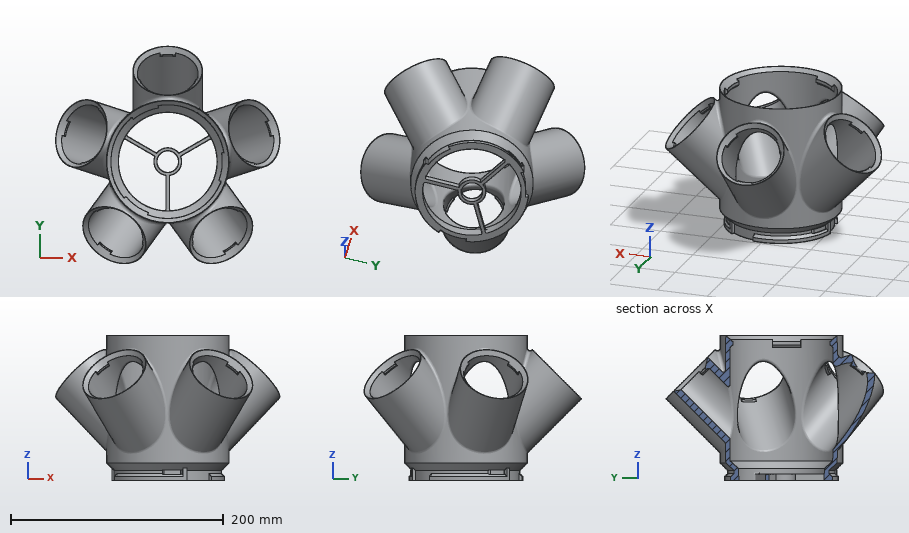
import cadquery as cq
import math

full_turn = 360.0

cone_angle = 45.0
total_height = 136.5
body_radius = 57.6
wall = 4.2
body_inner_radius = body_radius - wall
body_bottom = 16.5
collar_top = 9.5
collar_radius = body_radius - (body_bottom - collar_top)
collar_bore_radius = 46.3
bore_cone_bottom = collar_top + wall * math.tan(math.radians(cone_angle / 2))
bore_cone_top = bore_cone_bottom + body_inner_radius - collar_bore_radius
collar_core_radius = (collar_bore_radius + collar_radius) / 2

branch_count = 5
branch_tilt = 45.0
branch_radius = 32.7
branch_bore_radius = branch_radius - wall
branch_reach = 85.34
branch_end_height = 99.9
branch_length = branch_reach / math.sin(math.radians(branch_tilt))
branch_start = 25.0
branch_base_height = branch_end_height - branch_reach / math.tan(math.radians(branch_tilt))
branch_fillet = 2.5
bore_fillet = 2.5
first_branch_azimuth = 90.0

seam_tolerance = 0.1

rim_land = 0.4

bayonet_count = 3
body_lug_depth = 2.2
body_lug_tip_height = 3.2
branch_lug_depth = 1.5
branch_lug_tip_height = 1.9
lug_angle = 29.5
lug_embedment = wall / 4
body_lug_azimuth = 114.5
branch_lug_azimuth = 0.0

segment_radius = 53.4
segment_height = 6.5
segment_rim_height = segment_height - (segment_radius - collar_radius)
segment_start = 200.0
segment_angle = 90.0
stop_angle = 4.2
stop_height = 11.9
detent_centre = 274.75
detent_foot_angle = 21.0
detent_crest_angle = 17.3
detent_radius = 52.0
detent_bottom = 5.8
detent_top = 10.0

hub_outer_radius = 13.1
hub_inner_radius = 10.1
hub_height = 6.0
spoke_count = 3
spoke_width = 3.4
spoke_fillet = 1.5
first_spoke_azimuth = 30.0


def turned(profile, start, angle):
    """Revolve an (r, z) profile about Z through `angle` degrees from azimuth `start`."""
    solid = cq.Workplane("XZ").polyline(profile).close().revolve(angle, (0, 0, 0), (0, 1, 0))
    return solid.rotate((0, 0, 0), (0, 0, 1), start)


def around(solid, count):
    """Repeat a solid evenly about the Z axis."""
    group = solid
    for index in range(1, count):
        group = group.union(solid.rotate((0, 0, 0), (0, 0, 1), index * full_turn / count))
    return group


def ring_sector(inner, outer, bottom, top, start, angle):
    """A block of rectangular section between two radii, two heights and two azimuths."""
    return turned([(inner, bottom), (outer, bottom), (outer, top), (inner, top)], start, angle)


def lugs(bore_radius, tip_radius, tip_height, mouth_radius, end_height, azimuth):
    """Three lugs in a bore, up to its open end, with undersides that slope down to the wall."""
    root_radius = bore_radius + lug_embedment
    tip_bottom = end_height - (mouth_radius - tip_radius) - tip_height
    lug = turned(
        [
            (tip_radius, tip_bottom),
            (root_radius, tip_bottom - (root_radius - tip_radius)),
            (root_radius, end_height),
            (tip_radius, end_height),
        ],
        azimuth - lug_angle / 2,
        lug_angle,
    )
    return around(lug, bayonet_count)


def on_every_branch(solid):
    """Move a solid built along Z from the origin onto the branch axes."""
    tilted = solid.rotate((0, 0, 0), (0, 1, 0), branch_tilt).translate((0, 0, branch_base_height))
    return around(tilted.rotate((0, 0, 0), (0, 0, 1), first_branch_azimuth), branch_count)


def outer_form():
    """The solid body, collar and branches before they are hollowed."""
    form = turned(
        [
            (0, 0),
            (collar_radius, 0),
            (collar_radius, collar_top),
            (body_radius, body_bottom),
            (body_radius, total_height),
            (0, total_height),
        ],
        0,
        full_turn,
    )
    branch = cq.Workplane("XY").workplane(offset=branch_start)
    branch = branch.circle(branch_radius).extrude(branch_length - branch_start)
    return form.union(on_every_branch(branch))


def round_branch_joints(form, radius, fillet_radius):
    """Fillet the curved seams where the branches meet a body cylinder of the given radius."""

    def is_joint(edge):
        middle = edge.positionAt(0.5)
        on_cylinder = abs(math.hypot(middle.x, middle.y) - radius) < seam_tolerance
        return on_cylinder and edge.geomType() not in ("LINE", "CIRCLE")

    joints = [edge for edge in form.edges().vals() if is_joint(edge)]
    return form.newObject(joints).fillet(fillet_radius)


def mouth(tip_radius, mouth_radius, end_height):
    """The 45 degree cone that widens a bore at its open end and bevels the lugs in it."""
    cone_bottom = end_height - (mouth_radius - tip_radius)
    profile = [(0, cone_bottom), (tip_radius, cone_bottom), (mouth_radius, end_height), (0, end_height)]
    return turned(profile, 0, full_turn)


def inner_space():
    """The connected bores of the collar, body and branches."""
    space = turned(
        [
            (0, 0),
            (collar_bore_radius, 0),
            (collar_bore_radius, bore_cone_bottom),
            (body_inner_radius, bore_cone_top),
            (body_inner_radius, total_height),
            (0, total_height),
        ],
        0,
        full_turn,
    )
    bore = cq.Workplane("XY").workplane(offset=branch_start)
    bore = bore.circle(branch_bore_radius).extrude(branch_length - branch_start)
    return space.union(on_every_branch(bore))


def collar_bayonet():
    """Three bevelled segments on the collar, each with an end stop and a detent."""
    segment = turned(
        [
            (collar_core_radius, 0),
            (segment_radius, 0),
            (segment_radius, segment_rim_height),
            (collar_radius, segment_height),
            (collar_core_radius, segment_height),
        ],
        segment_start,
        segment_angle,
    )
    stop_start = segment_start + segment_angle - stop_angle
    stop = ring_sector(collar_core_radius, segment_radius, 0, stop_height, stop_start, stop_angle)
    return around(segment.union(stop).union(detent()), bayonet_count)


def detent():
    """A low block on the collar with a ramp at each end."""

    def point(radius, angle):
        azimuth = math.radians(detent_centre + angle)
        return (radius * math.cos(azimuth), radius * math.sin(azimuth))

    foot = detent_foot_angle / 2
    crest = detent_crest_angle / 2
    outline = cq.Workplane("XY").workplane(offset=detent_bottom)
    outline = outline.moveTo(*point(collar_core_radius, -foot)).lineTo(*point(collar_radius, -foot))
    outline = outline.lineTo(*point(detent_radius, -crest))
    outline = outline.threePointArc(point(detent_radius, 0), point(detent_radius, crest))
    outline = outline.lineTo(*point(collar_radius, foot)).lineTo(*point(collar_core_radius, foot))
    return outline.close().extrude(detent_top - detent_bottom)


def hub():
    """The hub ring and its spokes, filleted into a thin ring that lies inside the collar wall."""
    part = ring_sector(collar_bore_radius, collar_core_radius, 0, collar_top, 0, full_turn)
    spoke = cq.Workplane("XY").box(collar_core_radius, spoke_width, hub_height, centered=(False, True, False))
    spokes = around(spoke.rotate((0, 0, 0), (0, 0, 1), first_spoke_azimuth), spoke_count)
    disc = cq.Workplane("XY").circle(hub_outer_radius).extrude(hub_height)
    opening = cq.Workplane("XY").circle(hub_inner_radius).extrude(hub_height)
    part = part.union(spokes).union(disc).cut(opening)

    def is_spoke_root(edge):
        middle = edge.positionAt(0.5)
        on_bore = abs(math.hypot(middle.x, middle.y) - collar_bore_radius) < seam_tolerance
        return on_bore and seam_tolerance < middle.z < hub_height + seam_tolerance

    roots = [edge for edge in part.edges().vals() if is_spoke_root(edge)]
    return part.newObject(roots).fillet(spoke_fillet)


body_tip_radius = body_inner_radius - body_lug_depth
body_mouth_radius = body_radius - rim_land
body_mouth = mouth(body_tip_radius, body_mouth_radius, total_height)
body_lugs = lugs(
    body_inner_radius,
    body_tip_radius,
    body_lug_tip_height,
    body_mouth_radius,
    total_height,
    body_lug_azimuth,
)

branch_tip_radius = branch_bore_radius - branch_lug_depth
branch_mouth_radius = branch_radius - rim_land
branch_mouth = mouth(branch_tip_radius, branch_mouth_radius, branch_length)
branch_lugs = lugs(
    branch_bore_radius,
    branch_tip_radius,
    branch_lug_tip_height,
    branch_mouth_radius,
    branch_length,
    branch_lug_azimuth,
)

result = outer_form().cut(inner_space())
result = round_branch_joints(result, body_radius, branch_fillet)
result = round_branch_joints(result, body_inner_radius, bore_fillet)
result = result.union(body_lugs).cut(body_mouth)
result = result.union(on_every_branch(branch_lugs)).cut(on_every_branch(branch_mouth))
result = result.union(collar_bayonet()).union(hub())